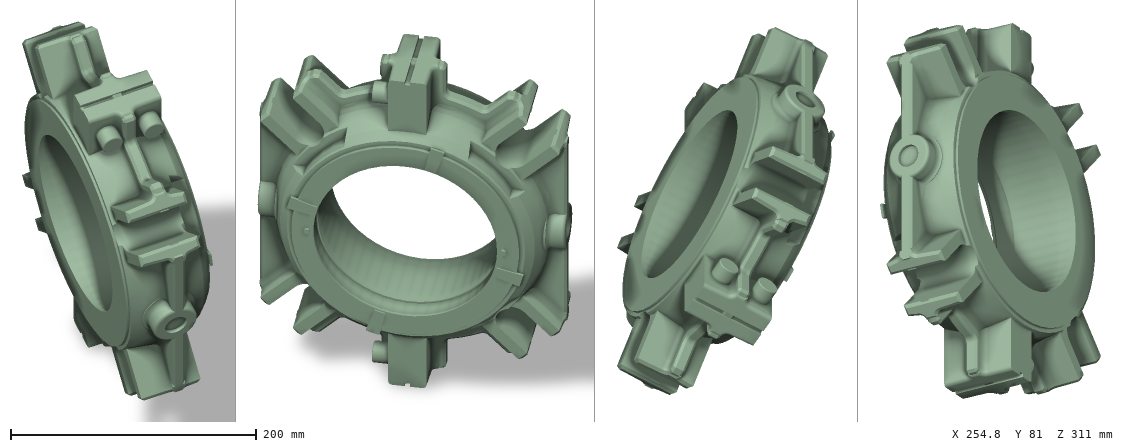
import cadquery as cq
import math

height = 311.0
width = 254.8
half_height = height / 2
half_width = width / 2

front_bore_d = 152.5
wide_bore_d = 155.5
wide_bore_start = 58.8
wide_bore_end = 76.5
front_disc_d = 212.5
front_disc_t = 2.2
front_radius = 109.8
middle_radius = 114.2
bevel_radius = 105.8
rear_radius = 99.0
bevel_y = 68.5
body_rear_y = 75.3
rear_disc_r = 94.5
rear_disc_y = 78.7

rib_y = 37.3
rib_t = 11.2
rib_radius = 127.5
rib_chamfer = 2.2
rib_corner = 5.3
position_tolerance = 0.03
root_fillet = 5.3

lug_half_width = 16.0
lug_rib_half_width = 26.8
lug_rib_top = half_height - 1.2
lug_front_y = 5.0
lug_rear_y = 69.5
lug_draft = 0.5
lug_root = 102.7
lug_top_fillet = 3.5
split_width = 4.5
split_depth = 3.0

arm_front_y = 5.3
arm_rear_y = 58.0
arm_end = 153.7
arm_half_width = 24.0
arm_rib_half_width = 38.0
arm_draft = 1.5
arm_root = 102.7
arm_chamfer = 2.5
arm_rib_end = 152.0
arm_rib_chamfer = 4.0
slot_half_width = 14.0
slot_round_center = 120.5
diagonals = (45, 135, 225, 315)

relief_floor_y = 60.7
relief_radius = 100.2
relief_inner_half_width = 24.3
relief_outer_half_width = 42.0
relief_outer = 113.5

boss_y = 34.5
boss_d = 38.5
boss_edge_fillet = 2.5
boss_root_x = 105.8
boss_root_fillet = 3.7
boss_fillet_x = 112.3
boss_recess_d = 19.3
boss_recess_depth = 3.0

bolt_d = 18.0
bolt_end_x = 30.2
bolt_z = 133.0
bolt_front_y = 20.2
bolt_rear_y = 57.0
bolt_chamfer = 0.5

pad_outer_d = 200.7
pad_inner_r = 77.5
pad_front_y = 77.8
pad_rear_y = 80.0
pad_start_angle = 12.2
pad_end_angle = 19.0
pin_d = 5.0
pin_x = 81.5
rear_y = 81.0


def xz_plane(y):
    """Workplane at position y whose normal points along +Y; its local x runs along -X."""
    return cq.Workplane(cq.Plane((0, y, 0), (-1, 0, 0), (0, 1, 0)))


def slab(bounds, y_front, y_rear):
    """Block over (x_min, x_max, z_min, z_max) between two Y positions."""
    x_min, x_max, z_min, z_max = bounds
    size = (x_max - x_min, y_rear - y_front, z_max - z_min)
    return cq.Workplane("XY").box(*size, centered=False).translate((x_min, y_front, z_min))


def disc(radius, y_front, y_rear):
    """Cylinder about the Y axis."""
    return xz_plane(y_front).circle(radius).extrude(y_rear - y_front)


def turn(shape, angle):
    """Turn a shape about the Y axis, from the +X axis toward the +Z axis."""
    return shape.rotate((0, 0, 0), (0, 1, 0), -angle)


def ring_body():
    """Turned body, not yet bored, with the concave roots of the middle rib in its profile."""
    front_edge = rib_y - rib_t / 2
    rear_edge = rib_y + rib_t / 2
    fillet_top = middle_radius + root_fillet
    diagonal = root_fillet * (1 - math.sqrt(0.5))
    profile = (
        cq.Workplane("XY")
        .moveTo(0, 0)
        .lineTo(front_disc_d / 2, 0)
        .lineTo(front_disc_d / 2, front_disc_t)
        .lineTo(front_radius, front_disc_t)
        .lineTo(middle_radius, front_edge - root_fillet)
        .threePointArc((middle_radius + diagonal, front_edge - diagonal), (fillet_top, front_edge))
        .lineTo(fillet_top, rear_edge)
        .threePointArc(
            (middle_radius + diagonal, rear_edge + diagonal), (middle_radius, rear_edge + root_fillet)
        )
        .lineTo(bevel_radius, bevel_y)
        .lineTo(rear_radius, body_rear_y)
        .lineTo(rear_disc_r, body_rear_y)
        .lineTo(rear_disc_r, rear_disc_y)
        .lineTo(0, rear_disc_y)
        .close()
    )
    return profile.revolve(360, (0, 0, 0), (0, 1, 0))


def middle_rib():
    """Flat web that joins the body, lugs, arms and sides, with rounded corners and beveled rims."""
    y_range = (rib_y - rib_t / 2, rib_y + rib_t / 2)
    rib = disc(rib_radius, *y_range)
    lug_rib = slab((-lug_rib_half_width, lug_rib_half_width, -lug_rib_top, lug_rib_top), *y_range)
    rib = rib.union(lug_rib.edges("|Y").chamfer(rib_chamfer))
    for angle in (45, 135):
        strip = slab((-arm_rib_end, arm_rib_end, -arm_rib_half_width, arm_rib_half_width), *y_range)
        rib = rib.union(turn(strip.edges("|Y").chamfer(arm_rib_chamfer), angle))
    side_z = (arm_end - arm_half_width) * math.sqrt(0.5)
    rib = rib.union(slab((-half_width, half_width, -side_z, side_z), *y_range))
    rib = rib.intersect(side_limits()).clean()
    corners = [edge for edge in rib.edges("|Y").vals() if is_rib_corner(edge.Center())]
    rib = rib.newObject(corners).fillet(rib_corner)
    return rib.faces("<Y or >Y").chamfer(rib_chamfer).cut(fork_slots())


def is_rib_corner(point):
    """True where the round rim of the middle rib meets a lug or an arm."""
    on_rim = abs(math.hypot(point.x, point.z) - rib_radius) < position_tolerance
    return on_rim and abs(point.z) > rib_radius / 2


def side_limits():
    """Block that trims the part to its flat sides."""
    return slab((-half_width, half_width, -half_height, half_height), 0, rear_y)


def flared_plate(half_plate, draft, start, end, plate_front_y, plate_rear_y):
    """Radial plate along +X, thickened by the draft toward the middle rib and flaring into it."""
    front_edge = rib_y - rib_t / 2
    rear_edge = rib_y + rib_t / 2
    foot = half_plate + draft
    top = foot + root_fillet
    diagonal = root_fillet * (1 - math.sqrt(0.5))
    half = (
        cq.Workplane("YZ", origin=(start, 0, 0))
        .moveTo(plate_front_y, 0)
        .lineTo(plate_front_y, half_plate)
        .lineTo(front_edge - root_fillet, foot)
        .threePointArc((front_edge - diagonal, foot + diagonal), (front_edge, top))
        .lineTo(rear_edge, top)
        .threePointArc((rear_edge + diagonal, foot + diagonal), (rear_edge + root_fillet, foot))
        .lineTo(plate_rear_y, half_plate)
        .lineTo(plate_rear_y, 0)
        .close()
        .extrude(end - start)
    )
    return half.union(half.mirror("XY"))


def fork_slots():
    """Round-bottomed slots between the arms, one on each diagonal."""
    y_range = (front_disc_t, rear_y)
    slot = slab((slot_round_center, half_height, -slot_half_width, slot_half_width), *y_range)
    slot = slot.union(disc(slot_half_width, *y_range).translate((slot_round_center, 0, 0)))
    slots = cq.Workplane("XY")
    for angle in diagonals:
        slots = slots.add(turn(slot, angle))
    return slots.combine()


def fork():
    """Pair of parallel arms along +X with the open slot between them."""
    arms = flared_plate(arm_half_width, arm_draft, arm_root, arm_end, arm_front_y, arm_rear_y)
    gap = slab((slot_round_center, arm_end, -slot_half_width, slot_half_width), 0, rear_y)
    return arms.cut(gap).faces(">X").chamfer(arm_chamfer)


def split_lug():
    """Lug along +X, grooved at its tip along the split line."""
    lug = flared_plate(lug_half_width, lug_draft, lug_root, half_height, lug_front_y, lug_rear_y)
    tip_edges = lug.faces(">X").edges("not(<Y or >Y)")
    lug = tip_edges.fillet(lug_top_fillet)
    groove_half = split_width / 2
    groove = slab((half_height - split_depth, half_height, -groove_half, groove_half), 0, rear_y)
    return lug.cut(groove)


def relief():
    """Rear clearance behind a fork, bottoming on a cylinder about the ring axis."""
    mouth = math.sqrt(relief_radius**2 - relief_inner_half_width**2)
    pocket = (
        xz_plane(relief_floor_y)
        .polyline([
            (-mouth, -relief_inner_half_width),
            (-relief_outer, -relief_outer_half_width),
            (-relief_outer, relief_outer_half_width),
            (-mouth, relief_inner_half_width),
        ])
        .close()
        .extrude(rear_y - relief_floor_y)
    )
    return pocket.cut(disc(relief_radius, relief_floor_y, rear_y))


def side_boss():
    """Round boss along X on the +X side, with a concave root and a rounded edge."""
    radius = boss_d / 2
    diagonal = boss_root_fillet * math.sqrt(0.5)
    center = (boss_fillet_x + boss_root_fillet, radius + boss_root_fillet)
    profile = (
        cq.Workplane("XY")
        .moveTo(boss_root_x, 0)
        .lineTo(boss_root_x, center[1])
        .lineTo(boss_fillet_x, center[1])
        .threePointArc((center[0] - diagonal, center[1] - diagonal), (center[0], radius))
        .lineTo(half_width, radius)
        .lineTo(half_width, 0)
        .close()
    )
    boss = profile.revolve(360, (0, 0, 0), (1, 0, 0)).translate((0, boss_y, 0))
    return boss.faces(">X").edges().fillet(boss_edge_fillet)


def side_recess():
    """Shallow round pocket in the face of the +X boss."""
    plane = cq.Workplane("YZ", origin=(half_width - boss_recess_depth, boss_y, 0))
    return plane.circle(boss_recess_d / 2).extrude(boss_recess_depth)


def bolt_head(y, z):
    """Round bolt head reaching out of a lug toward +X."""
    head = cq.Workplane("YZ", origin=(0, y, z)).circle(bolt_d / 2).extrude(bolt_end_x)
    return head.faces(">X").chamfer(bolt_chamfer)


def rear_pad(start_angle):
    """Flat ring segment on the rear disc."""
    sweep = pad_end_angle - pad_start_angle
    pad = (
        cq.Workplane("XY")
        .moveTo(pad_inner_r, pad_front_y)
        .lineTo(pad_outer_d / 2, pad_front_y)
        .lineTo(pad_outer_d / 2, pad_rear_y)
        .lineTo(pad_inner_r, pad_rear_y)
        .close()
        .revolve(sweep, (0, 0, 0), (0, -1, 0))
    )
    return turn(pad, start_angle)


result = ring_body().union(middle_rib())

for angle in diagonals:
    result = result.union(turn(fork(), angle))
result = result.intersect(side_limits()).cut(fork_slots())
for angle in diagonals:
    result = result.cut(turn(relief(), angle))

for angle in (90, 270):
    result = result.union(turn(split_lug(), angle))
for angle in (0, 180):
    result = result.union(turn(side_boss(), angle))
    result = result.cut(turn(side_recess(), angle))
for z in (-bolt_z, bolt_z):
    for y in (bolt_front_y, bolt_rear_y):
        result = result.union(bolt_head(y, z))

result = result.cut(disc(front_bore_d / 2, 0, rear_y))
result = result.cut(disc(wide_bore_d / 2, wide_bore_start, wide_bore_end))

for quarter in (0, 90, 180, 270):
    result = result.union(rear_pad(quarter + pad_start_angle))
for x in (-pin_x, pin_x):
    result = result.union(disc(pin_d / 2, bevel_y, rear_y).translate((x, 0, 0)))

result = result.solids()